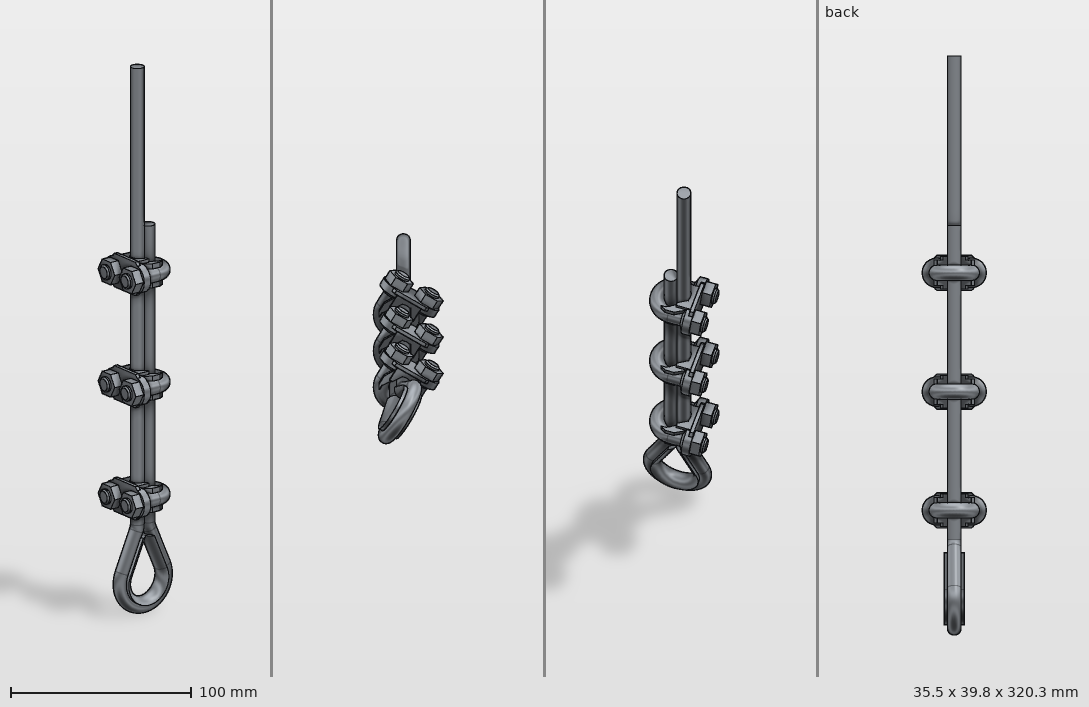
import cadquery as cq
import math

rope_d = 7.7
rope_press = 0.15
rope_spacing = rope_d - rope_press
eye_outer_d = 39.5
leg_angle = 23.5
bend_r = 10.2
total_length = 320.3
tail_top = 207.0
rope_r = rope_d / 2
eye_r = eye_outer_d / 2 - rope_r
rope_y = rope_spacing / 2
standing_top = total_length - eye_r - rope_r

thimble_width = 11.2
thimble_rim = 2.0
thimble_r = math.hypot(thimble_width / 2, thimble_rim)
thimble_top = 26.0

clip_count = 3
lowest_clip_z = 49.3
clip_pitch = 65.5
bolt_x = 9.5
bolt_d = 8.5
bolt_chamfer = 1.0
bow_y = 1.5
nut_sides = 6
nut_flats = 13.0
nut_y = -18.0
bolt_protrusion = 2.08
bolt_tip_y = nut_y - bolt_protrusion
plate_y = -12.5
plate_top_y = -10.2
plate_half_x = 12.5
plate_width = 19.5
plate_corner = 3.0
saddle_length = 35.5
lug_r = saddle_length / 2 - bolt_x
lug_y = -8.0
cone_y = -6.0
block_half_z = 9.0
block_half_x = 7.7
wing_y = -1.5
wing_half_x = 11.2
wing_half_z = 7.0
ear_y = 6.5
ear_x = 9.5
groove_bite = 0.3
groove_floor_y = -rope_y - rope_r + groove_bite
groove_floor_half_x = 2.5
groove_top_half_x = 9.3
groove_top_y = 3.5

lean = math.radians(leg_angle)
sin_lean = math.sin(lean)
cos_lean = math.cos(lean)
corner_z = (eye_r - rope_y * cos_lean) / sin_lean
bend_tangent = bend_r * math.tan(lean / 2)
leg_foot = (eye_r * cos_lean, eye_r * sin_lean)
bend_top_z = corner_z + bend_tangent
bend_foot = (rope_y + bend_tangent * sin_lean, corner_z - bend_tangent * cos_lean)


def across_leg(point):
    """Workplane across the +Y leg at a (y, z) point: normal down the leg, local Y toward the inside."""
    y, z = point
    plane = cq.Plane(origin=(0, y, z), xDir=(1, 0, 0), normal=(0, sin_lean, -cos_lean))
    return cq.Workplane(plane)


def teardrop(draw_section, leg_top):
    """Section carried around the bottom of the eye and up both legs to the level of `leg_top`."""
    tangent_y, tangent_z = leg_foot
    arc = (
        cq.Workplane("YZ")
        .moveTo(tangent_y, tangent_z)
        .threePointArc((0, -eye_r), (-tangent_y, tangent_z))
    )
    ring = draw_section(across_leg(leg_foot)).sweep(arc)
    leg = draw_section(across_leg(leg_top)).extrude(math.dist(leg_top, leg_foot))
    return ring.union(leg).union(leg.mirror("XZ"))


def rope_section(plane):
    return plane.circle(rope_r)


def thimble_section(plane):
    rim_half_x = thimble_width / 2
    return (
        plane.moveTo(-rim_half_x, thimble_rim)
        .threePointArc((0, thimble_r), (rim_half_x, thimble_rim))
        .close()
    )


def straight_rope(top):
    """Bend at the foot of the +Y leg and the straight rope above it."""
    bend_mid_y = rope_y + bend_r * (1 - math.cos(lean / 2))
    bend_mid_z = bend_top_z - bend_r * math.sin(lean / 2)
    path = (
        cq.Workplane("YZ")
        .moveTo(rope_y, top)
        .lineTo(rope_y, bend_top_z)
        .threePointArc((bend_mid_y, bend_mid_z), bend_foot)
    )
    return rope_section(cq.Workplane("XY", origin=(0, rope_y, top))).sweep(path)


def make_rope():
    eye = teardrop(rope_section, bend_foot)
    tail = straight_rope(tail_top)
    standing_part = straight_rope(standing_top).mirror("XZ")
    return eye.union(tail).union(standing_part)


def make_thimble(rope):
    """Channel around the inside of the eye, its legs meeting at the top."""
    channel = teardrop(thimble_section, (rope_y, corner_z))
    trim_size = 4 * eye_r
    above = (
        cq.Workplane("XY")
        .workplane(offset=thimble_top)
        .rect(trim_size, trim_size)
        .extrude(trim_size)
    )
    return channel.cut(above).cut(rope)


def make_u_bolt():
    wire = (
        cq.Workplane("XY")
        .moveTo(-bolt_x, bolt_tip_y)
        .lineTo(-bolt_x, bow_y)
        .threePointArc((0, bow_y + bolt_x), (bolt_x, bow_y))
        .lineTo(bolt_x, bolt_tip_y)
    )
    bolt = cq.Workplane("XZ", origin=(-bolt_x, bolt_tip_y, 0)).circle(bolt_d / 2).sweep(wire)
    return bolt.faces("<Y").edges().chamfer(bolt_chamfer)


def make_nuts():
    corner_d = nut_flats / math.cos(math.pi / nut_sides)
    return (
        cq.Workplane("XZ", origin=(0, plate_y, 0))
        .pushPoints([(-bolt_x, 0), (bolt_x, 0)])
        .polygon(nut_sides, corner_d)
        .extrude(plate_y - nut_y)
    )


def make_lug(x):
    """Rounded end of the saddle around one leg of the U-bolt, with a cone on top."""
    disc = cq.Workplane("XZ", origin=(x, lug_y, 0)).circle(lug_r).extrude(lug_y - plate_y)
    cone_base = cq.Vector(x, lug_y, 0)
    cone = cq.Solid.makeCone(lug_r, bolt_d / 2, cone_y - lug_y, cone_base, cq.Vector(0, 1, 0))
    return disc.union(cq.Workplane(cone))


def make_saddle():
    plate = (
        cq.Workplane("XZ", origin=(0, plate_top_y, 0))
        .rect(2 * plate_half_x, plate_width)
        .extrude(plate_top_y - plate_y)
        .edges("|Y")
        .chamfer(plate_corner)
    )
    block = (
        cq.Workplane("XY")
        .center(0, (plate_y + wing_y) / 2)
        .rect(2 * block_half_x, wing_y - plate_y)
        .extrude(block_half_z, both=True)
    )
    wings = (
        cq.Workplane("XY")
        .polyline([
            (-block_half_x, lug_y),
            (block_half_x, lug_y),
            (wing_half_x, wing_y),
            (wing_half_x, groove_top_y),
            (ear_x, ear_y),
            (-ear_x, ear_y),
            (-wing_half_x, groove_top_y),
            (-wing_half_x, wing_y),
        ])
        .close()
        .extrude(wing_half_z, both=True)
    )
    groove = (
        cq.Workplane("XY")
        .polyline([
            (-groove_floor_half_x, groove_floor_y),
            (groove_floor_half_x, groove_floor_y),
            (groove_top_half_x, groove_top_y),
            (groove_top_half_x, ear_y),
            (-groove_top_half_x, ear_y),
            (-groove_top_half_x, groove_top_y),
        ])
        .close()
        .extrude(plate_width, both=True)
    )
    saddle = plate.union(block).union(wings)
    for x in (-bolt_x, bolt_x):
        saddle = saddle.union(make_lug(x))
    return saddle.cut(groove)


def make_clip():
    return make_saddle().union(make_u_bolt()).union(make_nuts())


rope = make_rope()
thimble = make_thimble(rope)
clip = make_clip()
clipped_rope = rope
for index in range(clip_count):
    clip_z = lowest_clip_z + index * clip_pitch
    clipped_rope = clipped_rope.union(clip.translate((0, 0, clip_z)))

result = cq.Compound.makeCompound([clipped_rope.solids().val(), thimble.solids().val()])